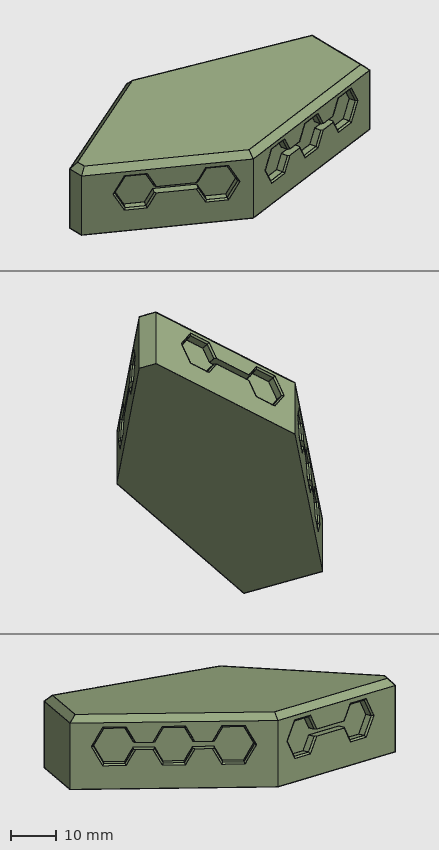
import cadquery as cq
import math

length = 76.75
width = 42.1
height = 16.6
tip_width = 4.0
front_angle = 30.0
rear_angle = 15.0
top_chamfer = 1.5

hex_flats = 8.0
hex_rim_chamfer = 0.4
recess_depth = 2.0
groove_height = 1.6
recess_z = 9.7
rear_hex_count = 3
rear_hex_pitch = 13.0
front_hex_count = 2
front_hex_pitch = 18.05
front_row_setback = 17.05

corner_y = (width - tip_width) / 2 / math.tan(math.radians(front_angle))
rear_half_width = width / 2 - (length - corner_y) * math.tan(math.radians(rear_angle))
tip_corner = (tip_width / 2, 0)
wide_corner = (width / 2, corner_y)
rear_corner = (rear_half_width, length)


def make_body():
    """Extruded kite with a chamfer all round its top face."""
    right_half = [tip_corner, wide_corner, rear_corner]
    left_half = [(-x, y) for x, y in reversed(right_half)]
    body = cq.Workplane("XY").polyline(right_half + left_half).close().extrude(height)
    return body.faces(">Z").chamfer(top_chamfer)


def face_frame(start, end, distance):
    """Plane on the +X side face from start to end, centred at a distance from start.

    Local X runs from start to end, which must lead toward +Y so that the normal points outward.
    """
    run = math.dist(start, end)
    along_x = (end[0] - start[0]) / run
    along_y = (end[1] - start[1]) / run
    origin = (start[0] + along_x * distance, start[1] + along_y * distance, recess_z)
    return cq.Plane(origin=origin, xDir=(along_x, along_y, 0), normal=(along_y, -along_x, 0))


def hex_corners(flats):
    """Distance across the corners of a hexagon, from its distance across the flats."""
    return flats / math.cos(math.pi / 6)


def make_recess(plane, count, pitch):
    """Cutter for a row of rim-chamfered hexagonal pockets and the groove joining them."""
    span = (count - 1) * pitch
    centres = [(i * pitch - span / 2, 0) for i in range(count)]
    corner_diameter = hex_corners(hex_flats)
    rim_diameter = hex_corners(hex_flats + 2 * hex_rim_chamfer)

    face = cq.Workplane(plane)
    cutter = face.rect(span, groove_height).extrude(-recess_depth)
    cutter = cutter.union(face.pushPoints(centres).polygon(6, corner_diameter).extrude(-recess_depth))
    for centre in centres:
        rim = (
            face.center(*centre)
            .polygon(6, rim_diameter)
            .workplane(offset=-hex_rim_chamfer)
            .polygon(6, corner_diameter)
            .loft(ruled=True)
        )
        cutter = cutter.union(rim)
    return cutter


rear_row_offset = math.dist(wide_corner, rear_corner) / 2
front_row_offset = math.dist(tip_corner, wide_corner) - front_row_setback
rear_plane = face_frame(wide_corner, rear_corner, rear_row_offset)
front_plane = face_frame(tip_corner, wide_corner, front_row_offset)

rear_recess = make_recess(rear_plane, rear_hex_count, rear_hex_pitch)
front_recess = make_recess(front_plane, front_hex_count, front_hex_pitch)

result = make_body()
for recess in (rear_recess, front_recess):
    result = result.cut(recess).cut(recess.mirror("YZ"))